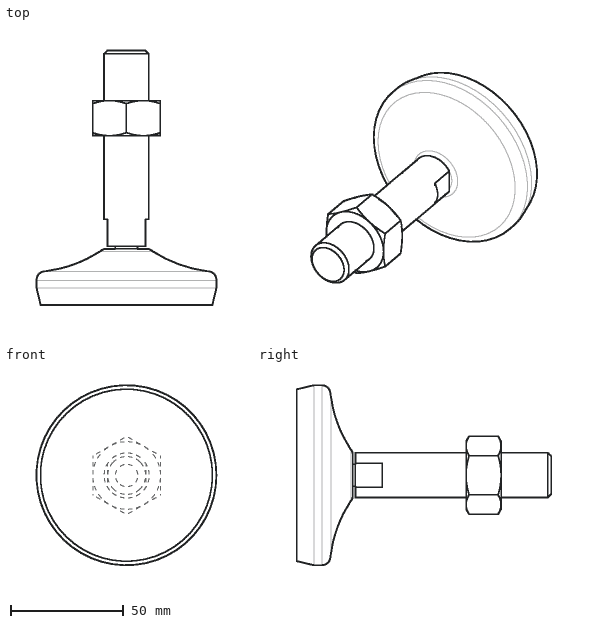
import cadquery as cq
import math

overall_length = 113.0

plate_radius = 80.0 / 2
sole_radius = 38.2
rim_start = 7.6
rim_end = 11.1
shoulder_radius = 4.0
collar_edge_radius = 11.5
collar_edge_height = 24.0
plate_height = 25.0
collar_top_radius = 9.0
flare_sag = 1.5

stud_radius = 20.0 / 2
stud_start = 26.0
stud_chamfer = 1.6
neck_radius = 10.0 / 2
flats_width = 17.0
flats_end = 38.0

nut_start = 75.1
nut_thickness = 15.6
nut_across_flats = 30.1
nut_chamfer_angle = 30.0


def cylinder(radius, start, end):
    """Cylinder on the Y axis between two heights."""
    return cq.Workplane("XZ", origin=(0, start, 0)).circle(radius).extrude(start - end)


def make_plate():
    """Revolved plate: tapered sole, straight rim, rounded shoulder, concave flare and rounded collar."""
    flare_radius = plate_radius - shoulder_radius
    flare_height = rim_end + shoulder_radius
    round_45 = shoulder_radius * math.sqrt(0.5)
    shoulder_middle = (flare_radius + round_45, rim_end + round_45)

    flare_run = flare_radius - collar_edge_radius
    flare_rise = collar_edge_height - flare_height
    flare_chord = math.hypot(flare_run, flare_rise)
    flare_middle = (
        (flare_radius + collar_edge_radius) / 2 - flare_sag * flare_rise / flare_chord,
        (flare_height + collar_edge_height) / 2 - flare_sag * flare_run / flare_chord,
    )

    collar_run = collar_edge_radius - collar_top_radius
    collar_drop = plate_height - collar_edge_height
    round_radius = (collar_run**2 + collar_drop**2) / (2 * collar_drop)
    half_angle = math.atan2(collar_drop, collar_run)
    collar_middle = (
        collar_top_radius + round_radius * math.sin(half_angle),
        plate_height - round_radius * (1 - math.cos(half_angle)),
    )
    return (
        cq.Workplane("XY")
        .lineTo(sole_radius, 0)
        .lineTo(plate_radius, rim_start)
        .lineTo(plate_radius, rim_end)
        .threePointArc(shoulder_middle, (flare_radius, flare_height))
        .threePointArc(flare_middle, (collar_edge_radius, collar_edge_height))
        .threePointArc(collar_middle, (collar_top_radius, plate_height))
        .lineTo(0, plate_height)
        .close()
        .revolve(360, (0, 0, 0), (0, 1, 0))
    )


def make_stud():
    """Round stud with a chamfered tip and two wrench flats facing +X and -X."""
    stud = cylinder(stud_radius, stud_start, overall_length).faces(">Y").chamfer(stud_chamfer)
    flats_length = flats_end - stud_start
    flats_middle = (flats_end + stud_start) / 2
    cut_offset = flats_width / 2 + stud_radius / 2
    for side in (-1, 1):
        flat_cut = cq.Workplane("XY").box(stud_radius, flats_length, 2 * stud_radius)
        stud = stud.cut(flat_cut.translate((side * cut_offset, flats_middle, 0)))
    return stud


def make_nut():
    """Hexagon nut with corners on the Z axis and conical chamfers on both ends."""
    nut_end = nut_start + nut_thickness
    corner_radius = nut_across_flats / math.sqrt(3)
    face_radius = nut_across_flats / 2
    chamfer_height = (corner_radius - face_radius) * math.tan(math.radians(nut_chamfer_angle))
    hexagon = (
        cq.Workplane("XZ", origin=(0, nut_start, 0))
        .transformed(rotate=(0, 0, 90))
        .polygon(6, 2 * corner_radius)
        .extrude(-nut_thickness)
    )
    chamfer_envelope = (
        cq.Workplane("XY")
        .moveTo(0, nut_start)
        .lineTo(face_radius, nut_start)
        .lineTo(corner_radius, nut_start + chamfer_height)
        .lineTo(corner_radius, nut_end - chamfer_height)
        .lineTo(face_radius, nut_end)
        .lineTo(0, nut_end)
        .close()
        .revolve(360, (0, 0, 0), (0, 1, 0))
    )
    return hexagon.intersect(chamfer_envelope)


neck = cylinder(neck_radius, plate_height, stud_start)
result = make_plate().union(neck).union(make_stud()).union(make_nut())